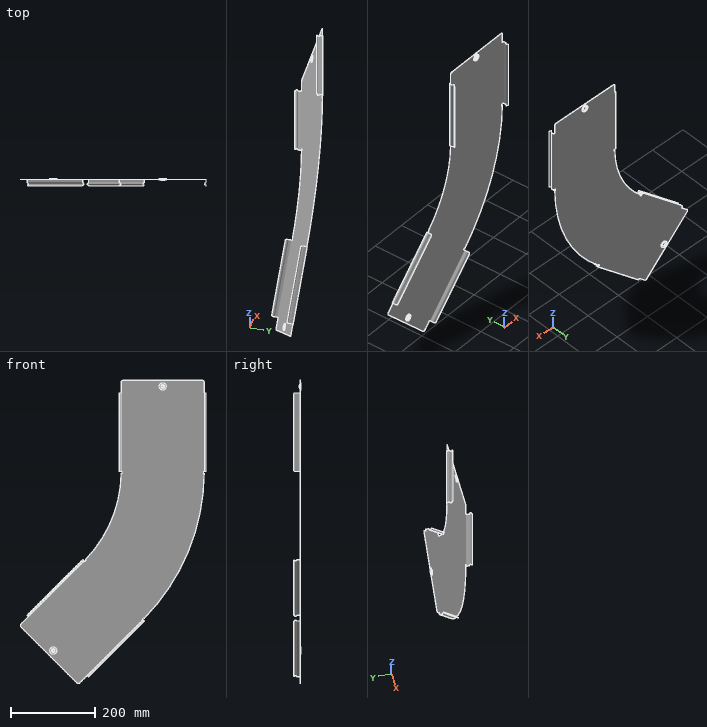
import cadquery as cq

BEND_ANGLE = 45.0
BEND_RADIUS = 400.0
PLATE_WIDTH = 198.0
FLANGE_WIDTH = 206.76
ARM_LENGTH = 217.0
SHEET = 0.6
CORNER_RADIUS = 5.0

FLANGE_LENGTH = 187.3
FLANGE_END_GAP = 30.0
FLANGE_DEPTH = 16.0
WALL_DEPTH = 7.5
BEAD_DEPTH = 11.5
BEAD_INSET = 4.5
LIP_DEPTH = 14.5
FOLD_RADIUS = 1.0
TIP_CHAMFER = 2.5

NOTCH_LENGTH = 4.5
NOTCH_DEPTH = 2.0

SCREW_END_GAP = 14.7
SCREW_DIAMETER = 17.0
HEAD_HEIGHT = 1.63
WASHER_HEIGHT = 0.4
NUT_DIAMETER = 9.0
NUT_HEIGHT = 1.7
SHANK_DIAMETER = 5.0
SHANK_HEIGHT = 2.2

inner_radius = BEND_RADIUS - PLATE_WIDTH / 2
outer_radius = BEND_RADIUS + PLATE_WIDTH / 2
flange_bottom = ARM_LENGTH - FLANGE_END_GAP - FLANGE_LENGTH


def block(x_min, x_max, y_min, y_max, z_min, z_max):
    """Box between the given limits."""
    size = (x_max - x_min, y_max - y_min, z_max - z_min)
    return cq.Workplane("XY").box(*size, centered=False).translate((x_min, y_min, z_min))


def mirrored_across_cover(body):
    """Copy of an outer-side body on the inner side of the bend."""
    return body.mirror("YZ", (BEND_RADIUS, 0, 0))


def flange():
    """Outer-side flange: a tab of the sheet, a wall folded to -Y and an inward snap bead."""
    edge = BEND_RADIUS + FLANGE_WIDTH / 2
    root = outer_radius - NOTCH_DEPTH
    bead = edge - BEAD_INSET
    outline = [
        (root, 0),
        (edge, 0),
        (edge, -WALL_DEPTH),
        (bead, -BEAD_DEPTH),
        (edge, -LIP_DEPTH),
        (edge, -FLANGE_DEPTH),
        (edge - SHEET, -FLANGE_DEPTH),
        (edge - SHEET, -LIP_DEPTH),
        (bead - SHEET, -BEAD_DEPTH),
        (edge - SHEET, -WALL_DEPTH),
        (edge - SHEET, -SHEET),
        (root, -SHEET),
    ]
    body = cq.Workplane("XY").polyline(outline).close().extrude(FLANGE_LENGTH)
    fold_zone = cq.selectors.BoxSelector(
        (root + SHEET, SHEET, 0), (edge + SHEET, -LIP_DEPTH - SHEET, FLANGE_LENGTH)
    )
    body = body.edges("|Z").edges(fold_zone).fillet(FOLD_RADIUS)

    side_shape = (
        cq.Workplane("YZ")
        .rect(2 * FLANGE_DEPTH, FLANGE_LENGTH)
        .extrude(edge)
        .edges("|X")
        .chamfer(TIP_CHAMFER)
        .translate((0, 0, FLANGE_LENGTH / 2))
    )
    return body.intersect(side_shape).translate((0, 0, flange_bottom))


def screw():
    """Turn-lock screw: head on +Y, washer, nut and shank end on -Y."""

    def disc(diameter, depth, top=0.0):
        center = cq.Vector(BEND_RADIUS, top, ARM_LENGTH - SCREW_END_GAP)
        return cq.Workplane(cq.Solid.makeCylinder(diameter / 2, top + depth, center, cq.Vector(0, -1, 0)))

    washer_and_head = disc(SCREW_DIAMETER, SHEET + WASHER_HEIGHT, HEAD_HEIGHT)
    nut = disc(NUT_DIAMETER, SHEET + NUT_HEIGHT)
    shank = disc(SHANK_DIAMETER, SHEET + SHANK_HEIGHT)
    return washer_and_head.union(nut).union(shank)


def arm():
    """Upper arm, with its end on the bend at z = 0."""
    plate = block(inner_radius, outer_radius, -SHEET, 0, 0, ARM_LENGTH)
    plate = plate.edges("|Y and >Z").fillet(CORNER_RADIUS)
    outer_flange = flange()
    return plate.union(outer_flange).union(mirrored_across_cover(outer_flange)).union(screw())


def notches():
    """Cutters for the two relief notches, just past the flanges of the upper arm."""
    outer_notch = block(
        outer_radius - NOTCH_DEPTH,
        outer_radius + NOTCH_DEPTH,
        -2 * SHEET,
        SHEET,
        flange_bottom - NOTCH_LENGTH,
        flange_bottom,
    )
    return outer_notch.union(mirrored_across_cover(outer_notch))


def on_lower_arm(body):
    """Copy of an upper-arm body at the other end of the bend."""
    return body.mirror("XY").rotate((0, 0, 0), (0, 1, 0), BEND_ANGLE)


def bend():
    """Flat ring sector between the two arms, notched at both ends."""
    section = cq.Workplane("XY").center(BEND_RADIUS, -SHEET / 2).rect(PLATE_WIDTH, SHEET)
    sector = section.revolve(BEND_ANGLE, (-BEND_RADIUS, 0), (-BEND_RADIUS, 1))
    return sector.cut(notches()).cut(on_lower_arm(notches()))


upper_arm = arm()
result = bend().union(upper_arm).union(on_lower_arm(upper_arm))